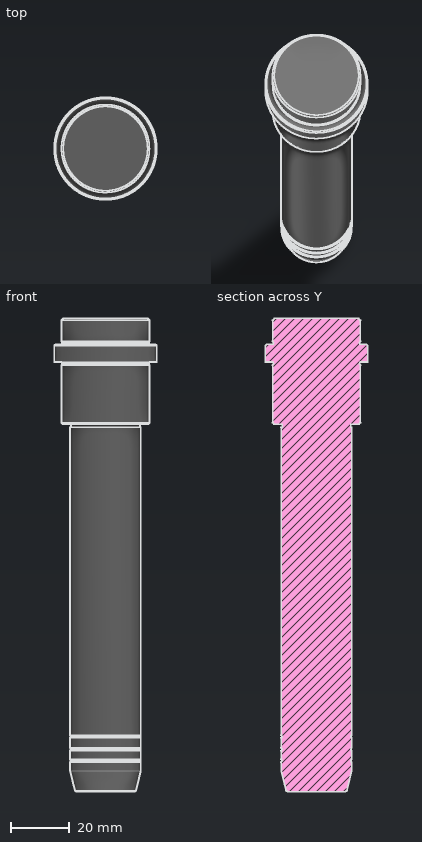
import cadquery as cq

total_length = 161.0
flange_radius = 35.0 / 2
head_radius = 15.0
shaft_radius = 12.0

flange_top = total_length - 8.9
flange_bottom = total_length - 15.0
head_bottom = total_length - 36.0

tip_height = 7.2
tip_radius = 10.3

edge_chamfer = 0.5
top_chamfer = 0.6

groove_width = 1.0
groove_depth = 0.3
ring_centers = (10.6, 14.5, 18.8)


def cylinder(radius, bottom, top):
    return cq.Workplane("XY").workplane(offset=bottom).circle(radius).extrude(top - bottom)


def v_groove(outer_radius, center):
    """Cutter for a V-shaped ring groove whose mouth lies on the given radius."""
    return (
        cq.Workplane("XZ")
        .moveTo(outer_radius - groove_depth, center)
        .lineTo(outer_radius + groove_depth, center + groove_width)
        .lineTo(outer_radius + groove_depth, center - groove_width)
        .close()
        .revolve(360, (0, 0, 0), (0, 1, 0))
    )


tip = (
    cq.Workplane("XY")
    .circle(tip_radius)
    .workplane(offset=tip_height)
    .circle(shaft_radius)
    .loft(ruled=True)
    .faces("<Z")
    .chamfer(edge_chamfer)
)
neck_bottom = head_bottom - groove_width
shaft = tip.union(cylinder(shaft_radius, tip_height, neck_bottom))

for ring_center in ring_centers:
    shaft = shaft.cut(v_groove(shaft_radius, ring_center))

neck = cylinder(shaft_radius - groove_depth, neck_bottom, head_bottom)

head = cylinder(head_radius, head_bottom, total_length)
head = head.faces("<Z").chamfer(edge_chamfer)
head = head.faces(">Z").chamfer(top_chamfer)
for groove_center in (flange_top + groove_width / 2, flange_bottom - groove_width / 2):
    head = head.cut(v_groove(head_radius, groove_center))

flange = cylinder(flange_radius, flange_bottom, flange_top).faces(">Z").chamfer(edge_chamfer)

result = shaft.union(neck).union(head).union(flange)